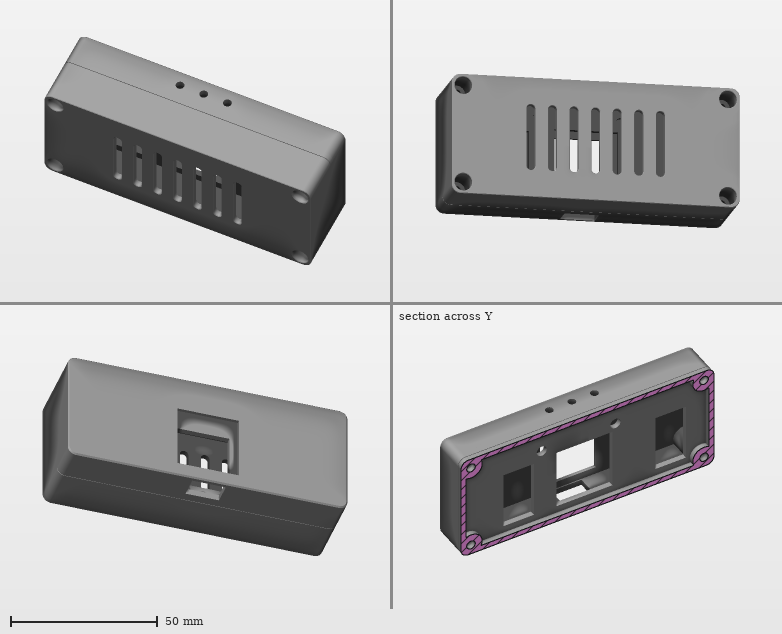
import cadquery as cq

LENGTH = 100.0
HEIGHT = 42.0
COVER_DEPTH = 16.0
PLATE_DEPTH = 2.0
BASE_DEPTH = 10.4
DEPTH = COVER_DEPTH + PLATE_DEPTH + BASE_DEPTH
COVER_FRONT = -DEPTH / 2
PLATE_FRONT = COVER_FRONT + COVER_DEPTH
BASE_FRONT = PLATE_FRONT + PLATE_DEPTH
BASE_BACK = DEPTH / 2

CORNER_RADIUS = 3.0
EDGE_BREAK = 0.2
BACK_CHAMFER = 0.5
WALL = 2.2
BACK_WALL = 1.2
CAVITY_LENGTH = LENGTH - 2 * WALL
CAVITY_HEIGHT = HEIGHT - 2 * WALL

SCREW_INSET = 4.0
SCREW_DIAMETER = 3.2
SCREW_HEAD_DIAMETER = 6.0
SCREW_HEAD_DEPTH = 12.0
SCREW_BLIND_DEPTH = 8.0
POST_DIAMETER = 9.0
SCREW_X = LENGTH / 2 - SCREW_INSET
SCREW_Z = HEIGHT / 2 - SCREW_INSET
SCREW_POINTS = [(sx * SCREW_X, sz * SCREW_Z) for sx in (-1, 1) for sz in (-1, 1)]

SLOT_COUNT = 7
SLOT_PITCH = 7.5
SLOT_WIDTH = 3.0
SLOT_LENGTH = 23.0
SLOT_POINTS = [((i - (SLOT_COUNT - 1) / 2) * SLOT_PITCH, 0) for i in range(SLOT_COUNT)]

WINDOW_LENGTH = 22.0
WINDOW_TOP = 7.6
WINDOW_BOTTOM = -16.0
WINDOW_HEIGHT = WINDOW_TOP - WINDOW_BOTTOM
WINDOW_CENTRE_Z = (WINDOW_TOP + WINDOW_BOTTOM) / 2
SIDE_WINDOW_LENGTH = 12.0
SIDE_WINDOW_TOP = 6.5
SIDE_WINDOW_X = (-26.0, 34.0)
SIDE_WINDOW_HEIGHT = SIDE_WINDOW_TOP - WINDOW_BOTTOM
SIDE_WINDOW_CENTRE_Z = (SIDE_WINDOW_TOP + WINDOW_BOTTOM) / 2
MOUNT_DIAMETER = 4.0
MOUNT_POINTS = [(-16.9, 10.8), (12.2, 10.8)]

INDICATOR_DIAMETER = 3.0
INDICATOR_COUNT = 3
INDICATOR_PITCH = 8.9
INDICATOR_CENTRE_X = -0.9
INDICATOR_Y = 8.8
PORT_LENGTH = 12.0
PORT_WIDTH = 7.5


def front_plane(y):
    """Workplane at the given Y, with X right, Z up and its normal toward -Y."""
    return cq.Workplane("XZ", origin=(0, y, 0))


def rounded_block(front, depth):
    """Full-outline layer with rounded corners, reaching from front toward +Y."""
    block = front_plane(front).rect(LENGTH, HEIGHT).extrude(-depth)
    return block.edges("|Y").fillet(CORNER_RADIUS)


def cavity(front, depth):
    """Inside space of a half shell, leaving round screw posts in the corners."""
    space = front_plane(front).rect(CAVITY_LENGTH, CAVITY_HEIGHT).extrude(-depth)
    posts = front_plane(front).pushPoints(SCREW_POINTS).circle(POST_DIAMETER / 2).extrude(-depth)
    return space.cut(posts)


def screw_bores(front, depth, diameter):
    """Four corner cylinders on the screw axes, reaching from front toward +Y."""
    return front_plane(front).pushPoints(SCREW_POINTS).circle(diameter / 2).extrude(-depth)


def make_cover():
    """Deep front shell with vent slots and sunk screw holes."""
    cover = rounded_block(COVER_FRONT, COVER_DEPTH)
    cover = cover.faces(">Y").edges().chamfer(EDGE_BREAK)
    slots = (
        front_plane(COVER_FRONT).pushPoints(SLOT_POINTS)
        .slot2D(SLOT_LENGTH, SLOT_WIDTH, 90).extrude(-COVER_DEPTH)
    )
    cover = cover.cut(slots)
    cover = cover.cut(screw_bores(COVER_FRONT, SCREW_HEAD_DEPTH, SCREW_HEAD_DIAMETER))
    cover = cover.faces("<Y").edges().chamfer(EDGE_BREAK)
    cover = cover.cut(cavity(COVER_FRONT + WALL, COVER_DEPTH - WALL))
    return cover.cut(screw_bores(COVER_FRONT, COVER_DEPTH, SCREW_DIAMETER))


def make_plate():
    """Flat divider clamped between cover and base."""
    plate = rounded_block(PLATE_FRONT, PLATE_DEPTH)
    plate = plate.cut(screw_bores(PLATE_FRONT, PLATE_DEPTH, SCREW_DIAMETER))
    window = (
        front_plane(PLATE_FRONT).center(0, WINDOW_CENTRE_Z)
        .rect(WINDOW_LENGTH, WINDOW_HEIGHT).extrude(-PLATE_DEPTH)
    )
    side_windows = (
        front_plane(PLATE_FRONT).pushPoints([(x, SIDE_WINDOW_CENTRE_Z) for x in SIDE_WINDOW_X])
        .rect(SIDE_WINDOW_LENGTH, SIDE_WINDOW_HEIGHT).extrude(-PLATE_DEPTH)
    )
    mounts = (
        front_plane(PLATE_FRONT).pushPoints(MOUNT_POINTS)
        .circle(MOUNT_DIAMETER / 2).extrude(-PLATE_DEPTH)
    )
    return plate.cut(window).cut(side_windows).cut(mounts)


def make_base():
    """Shallow back shell with a back window, indicator holes and a bottom port."""
    base = rounded_block(BASE_FRONT, BASE_DEPTH)
    base = base.faces(">Y").edges().chamfer(BACK_CHAMFER)
    base = base.cut(cavity(BASE_FRONT, BASE_DEPTH - BACK_WALL))
    base = base.cut(screw_bores(BASE_FRONT, SCREW_BLIND_DEPTH, SCREW_DIAMETER))
    window = (
        front_plane(BASE_BACK - BACK_WALL).center(0, WINDOW_CENTRE_Z)
        .rect(WINDOW_LENGTH, WINDOW_HEIGHT).extrude(-BACK_WALL)
    )
    indicators = (
        cq.Workplane("XY").center(INDICATOR_CENTRE_X, INDICATOR_Y)
        .rarray(INDICATOR_PITCH, 1, INDICATOR_COUNT, 1).circle(INDICATOR_DIAMETER / 2).extrude(HEIGHT / 2)
    )
    port = (
        cq.Workplane("XY").center(INDICATOR_CENTRE_X, INDICATOR_Y)
        .rect(PORT_LENGTH, PORT_WIDTH).extrude(-HEIGHT / 2)
    )
    return base.cut(window).cut(indicators).cut(port)


cover = make_cover()
plate = make_plate()
base = make_base()

result = cq.Compound.makeCompound([cover.val(), plate.val(), base.val()])